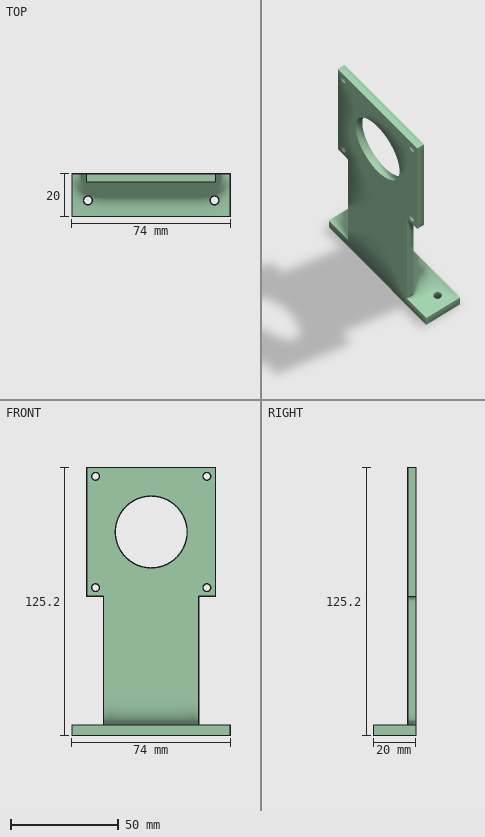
import cadquery as cq

base_width = 74.0
base_depth = 20.0
base_thickness = 5.0
base_hole_diameter = 4.0
base_hole_spacing = 59.1
base_hole_front_offset = 7.5

total_height = 125.2
plate_thickness = 4.0
head_size = 60.2
neck_width = 44.6
bore_diameter = 33.5
head_hole_diameter = 3.5
head_hole_spacing = 52.0

head_center_height = total_height - head_size / 2
neck_height = total_height - head_size - base_thickness


def make_base():
    """Flat foot with two vertical mounting holes in front of the upright."""
    foot = cq.Workplane("XY").box(
        base_width, base_depth, base_thickness, centered=(True, False, False)
    ).translate((0, -base_depth, 0))
    hole_y = base_hole_front_offset - base_depth
    holes = (
        cq.Workplane("XY")
        .center(0, hole_y)
        .rarray(base_hole_spacing, 1.3, 2, 1)
        .circle(base_hole_diameter / 2)
        .extrude(base_thickness)
    )
    return foot.cut(holes)


def make_neck():
    """Narrow web joining the foot to the head."""
    return (
        cq.Workplane("XZ")
        .center(0, base_thickness + neck_height / 2)
        .rect(neck_width, neck_height)
        .extrude(plate_thickness)
    )


def make_head():
    """Square plate with a central bore and four corner holes."""
    head_plane = cq.Workplane("XZ").center(0, head_center_height)
    plate = head_plane.rect(head_size, head_size).extrude(plate_thickness)
    bore = head_plane.circle(bore_diameter / 2).extrude(plate_thickness)
    corner_holes = (
        head_plane.rarray(head_hole_spacing, head_hole_spacing, 2, 2)
        .circle(head_hole_diameter / 2)
        .extrude(plate_thickness)
    )
    return plate.cut(bore).cut(corner_holes)


result = make_base().union(make_neck()).union(make_head())